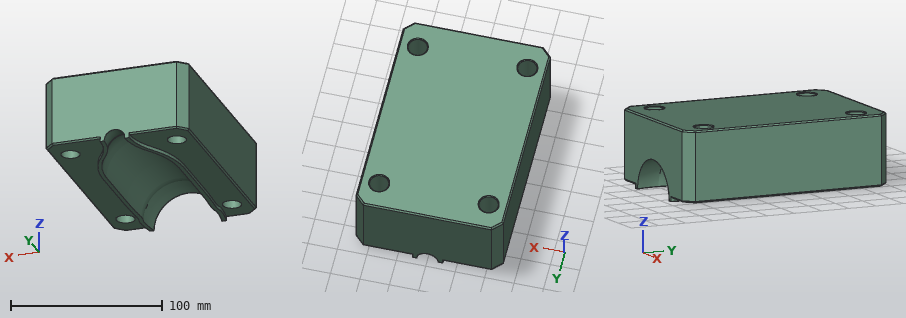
import cadquery as cq
import math

length = 150.0
width = length * 2 / 3
height = 50.8
rim_height = 2.4
corner_chamfer = 6.5
edge_chamfer = 1.0

bolt_diameter = 12.8
bolt_chamfer = 0.6
bolt_spacing_x = 74.4
bolt_spacing_y = 112.2

neck_radius = 7.2
shoulder_radius = 14.5
body_radius = 25.4
waist_radius = 24.5
bead_radius = 25.5
mouth_radius = 23.7

shoulder_y = 50.8
body_back_y = 16.8
body_front_y = -24.9
waist_y = -51.8
bead_y = -58.5
back_y = length / 2
front_y = -length / 2

rim_wall = 3.0
rim_shift_x = -0.2


def tangent_arc_middle(flat, end):
    """Middle point of an arc that starts parallel to Y at `flat` and ends at `end`."""
    rise = end[0] - flat[0]
    run = end[1] - flat[1]
    radius = (rise**2 + run**2) / (2 * abs(rise))
    half_angle = math.asin(abs(run) / radius) / 2
    x = flat[0] + math.copysign(radius * (1 - math.cos(half_angle)), rise)
    y = flat[1] + math.copysign(radius * math.sin(half_angle), run)
    return (x, y)


def half_bottle(offset):
    """Closed half outline of the bottle, grown sideways by `offset`, with x = 0 as axis."""
    neck = (neck_radius + offset, back_y)
    shoulder = (shoulder_radius + offset, shoulder_y)
    body_back = (body_radius + offset, body_back_y)
    body_front = (body_radius + offset, body_front_y)
    waist = (waist_radius + offset, waist_y)
    bead = (bead_radius + offset, bead_y)
    mouth = (mouth_radius + offset, front_y)
    return (
        cq.Workplane("XY")
        .moveTo(0, back_y)
        .lineTo(*neck)
        .threePointArc(tangent_arc_middle(neck, shoulder), shoulder)
        .threePointArc(tangent_arc_middle(body_back, shoulder), body_back)
        .lineTo(*body_front)
        .threePointArc(tangent_arc_middle(body_front, waist), waist)
        .threePointArc(tangent_arc_middle(waist, bead), bead)
        .threePointArc(tangent_arc_middle(bead, mouth), mouth)
        .lineTo(0, front_y)
        .close()
    )


def make_block():
    return (
        cq.Workplane("XY", origin=(0, 0, rim_height))
        .rect(width, length)
        .extrude(height - rim_height)
        .edges("|Z")
        .chamfer(corner_chamfer)
        .faces("<Z or >Z")
        .edges()
        .chamfer(edge_chamfer)
    )


def make_rim():
    half = half_bottle(rim_wall).extrude(rim_height + edge_chamfer)
    return half.union(half.mirror("YZ")).translate((rim_shift_x, 0, 0))


def make_cavity():
    return half_bottle(0).revolve(360, (0, 0, 0), (0, 1, 0))


def make_bolt_holes():
    hole = cq.Workplane("XY").circle(bolt_diameter / 2).extrude(height)
    countersink = (
        cq.Workplane("XY", origin=(0, 0, height))
        .circle(bolt_diameter / 2 + bolt_chamfer)
        .workplane(offset=-bolt_chamfer)
        .circle(bolt_diameter / 2)
        .loft()
    )
    cutter = hole.union(countersink).val()
    centers = cq.Workplane("XY").rect(bolt_spacing_x, bolt_spacing_y, forConstruction=True).vertices()
    return centers.eachpoint(lambda place: cutter.moved(place))


result = make_block().union(make_rim()).cut(make_cavity()).cut(make_bolt_holes())